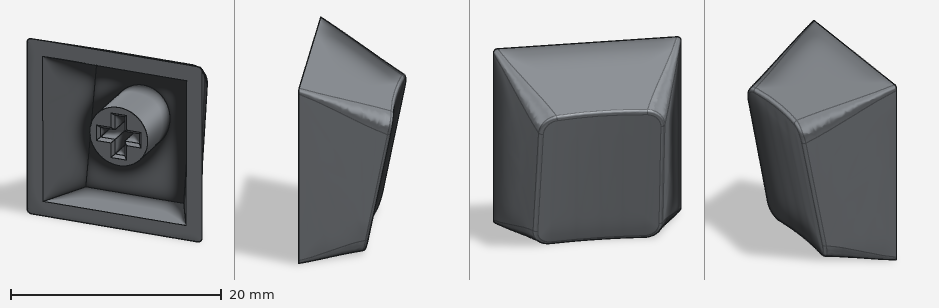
import math

import cadquery as cq


base_size = 18.1
half_base = base_size / 2
rear_wall_slope = 0.45
side_slope_rear = 0.352
side_slope_front = 0.48
top_tilt = 11.1
top_drop = math.tan(math.radians(top_tilt))
blank_height = 9.2

dish_height = 8.37
dish_radius = 42.0

corner_radius_base = 0.45
corner_radius_top = 1.8
rim_radius = 0.4

wall = 1.5
floor_height = 7.15

stem_diameter = 6.0
stem_recess = 1.0
cross_length = 4.0
cross_width = 1.0
cross_chamfer = 0.3

tolerance = 0.01


def quad(rear, front):
    """Symmetric four-sided wire from (half width, height, z) of its rear and front sides."""
    rear_x, rear_y, rear_z = rear
    front_x, front_y, front_z = front
    corners = [
        cq.Vector(-rear_x, rear_y, rear_z),
        cq.Vector(rear_x, rear_y, rear_z),
        cq.Vector(front_x, front_y, front_z),
        cq.Vector(-front_x, front_y, front_z),
    ]
    return cq.Wire.makePolygon(corners, close=True)


def tapered_block(inset, rear_height):
    """Block with leaning rear and side walls, a square front wall and a tilted top.

    Every wall lies the given inset inside the outer surface.
    """
    rear_z = half_base - inset * math.hypot(1, rear_wall_slope)
    front_z = inset - half_base
    rear_x = half_base - inset * math.hypot(1, side_slope_rear)
    front_x = half_base - inset * math.hypot(1, side_slope_front)

    top_rear_z = rear_z - rear_wall_slope * rear_height
    front_height = rear_height - (top_rear_z - front_z) * top_drop
    top_rear_x = rear_x - side_slope_rear * rear_height
    top_front_x = front_x - side_slope_front * front_height

    mouth = quad((rear_x, 0, rear_z), (front_x, 0, front_z))
    top = quad((top_rear_x, rear_height, top_rear_z), (top_front_x, front_height, front_z))
    return cq.Solid.makeLoft([mouth, top], True)


def dish_cutter():
    """Large cylinder whose axis runs parallel to the tilted top face."""
    along = cq.Vector(0, top_drop, 1).normalized()
    upward = cq.Vector(0, 1, -top_drop).normalized()
    dish_rear = cq.Vector(0, dish_height, half_base - rear_wall_slope * dish_height)
    length = 4 * base_size
    start = dish_rear + upward * dish_radius - along * (length / 2)
    return cq.Solid.makeCylinder(dish_radius, length, start, along)


def round_corners(body):
    """Fillet the four corner edges with a radius that grows from the mouth to the top."""
    fillet = cq.occ_impl.shapes.BRepFilletAPI_MakeFillet(body.wrapped)
    for edge in body.Edges():
        start_y = edge.startPoint().y
        end_y = edge.endPoint().y
        if start_y < tolerance < end_y:
            fillet.Add(corner_radius_base, corner_radius_top, edge.wrapped)
        elif end_y < tolerance < start_y:
            fillet.Add(corner_radius_top, corner_radius_base, edge.wrapped)
    return cq.Shape.cast(fillet.Shape()).Solids()[0]


def outer_body():
    """Solid cap with dished top, rounded corners and a rounded rim."""
    dished = tapered_block(0, blank_height).cut(dish_cutter()).Solids()[0]
    rounded = cq.Workplane(obj=round_corners(dished))
    return rounded.faces("%CYLINDER").edges().fillet(rim_radius)


def stem_plane():
    """Plane of the stem's end face, with its normal pointing into the cap."""
    return cq.Workplane(cq.Plane((0, stem_recess, 0), xDir=(0, 0, 1), normal=(0, 1, 0)))


def socket_bar(length, width):
    """One bar of the cross, flared by the chamfer at its mouth."""
    flare = (
        stem_plane()
        .rect(length + 2 * cross_chamfer, width + 2 * cross_chamfer)
        .workplane(offset=cross_chamfer)
        .rect(length, width)
        .loft(ruled=True)
    )
    return stem_plane().rect(length, width).extrude(blank_height).union(flare)


def stem(cavity):
    """Round post with a cross-shaped socket, both ending on the cavity floor."""
    post = stem_plane().circle(stem_diameter / 2).extrude(blank_height)
    socket = socket_bar(cross_length, cross_width).union(socket_bar(cross_width, cross_length))
    return post.cut(socket).intersect(cavity)


cap_cavity = cq.Workplane(obj=tapered_block(wall, floor_height))
result = outer_body().cut(cap_cavity).union(stem(cap_cavity))